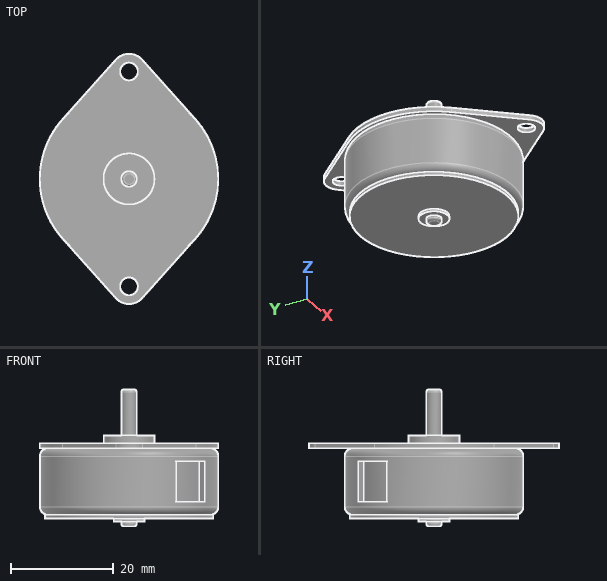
import cadquery as cq
import math

body_radius = 17.5
body_height = 13.0
body_fillet = 1.5

flange_thickness = 1.05
flange_length = 49.0
hole_offset = 21.0
hole_radius = 1.7
tip_radius = flange_length / 2 - hole_offset

boss_radius = 5.0
boss_height = 1.5
base_radius = 16.5
base_thickness = 0.8
washer_radius = 3.05
washer_thickness = 0.6
shaft_radius = 1.5
shaft_fillet = 0.5
shaft_above_flange = 10.5
shaft_below_washer = 0.95

recess_size = 8.0
recess_top = -2.5
recess_floor_radius = 15.95
recess_angle = -45.0


def disc(radius, bottom, height):
    return cq.Workplane("XY").workplane(offset=bottom).circle(radius).extrude(height)


def make_flange():
    normal_y = (body_radius - tip_radius) / hole_offset
    normal_x = math.sqrt(1 - normal_y**2)
    side_x = body_radius * normal_x
    side_y = body_radius * normal_y
    tip_x = tip_radius * normal_x
    tip_y = hole_offset + tip_radius * normal_y
    return (
        cq.Workplane("XY")
        .moveTo(side_x, -side_y)
        .threePointArc((body_radius, 0), (side_x, side_y))
        .lineTo(tip_x, tip_y)
        .threePointArc((0, flange_length / 2), (-tip_x, tip_y))
        .lineTo(-side_x, side_y)
        .threePointArc((-body_radius, 0), (-side_x, -side_y))
        .lineTo(-tip_x, -tip_y)
        .threePointArc((0, -flange_length / 2), (tip_x, -tip_y))
        .close()
        .extrude(flange_thickness)
        .cut(
            cq.Workplane("XY")
            .pushPoints([(0, hole_offset), (0, -hole_offset)])
            .circle(hole_radius)
            .extrude(flange_thickness)
        )
    )


def make_recess_cutter():
    block = (
        cq.Workplane("XY")
        .box(body_radius, recess_size, recess_size, centered=(False, True, False))
        .translate((body_radius / 2, 0, recess_top - recess_size))
        .rotate((0, 0, 0), (0, 0, 1), recess_angle)
    )
    return block.cut(disc(recess_floor_radius, -body_height, body_height))


body = disc(body_radius, -body_height, body_height).edges().fillet(body_fillet)
body = body.cut(make_recess_cutter())

base_bottom = -body_height - base_thickness
washer_bottom = base_bottom - washer_thickness
shaft_bottom = washer_bottom - shaft_below_washer
shaft_top = flange_thickness + shaft_above_flange

base = disc(base_radius, base_bottom, base_thickness)
washer = disc(washer_radius, washer_bottom, washer_thickness)
boss = disc(boss_radius, flange_thickness, boss_height)
shaft = disc(shaft_radius, shaft_bottom, shaft_top - shaft_bottom)
shaft = shaft.edges("%CIRCLE").fillet(shaft_fillet)

result = body.union(make_flange())
for detail in (base, washer, boss, shaft):
    result = result.union(detail)